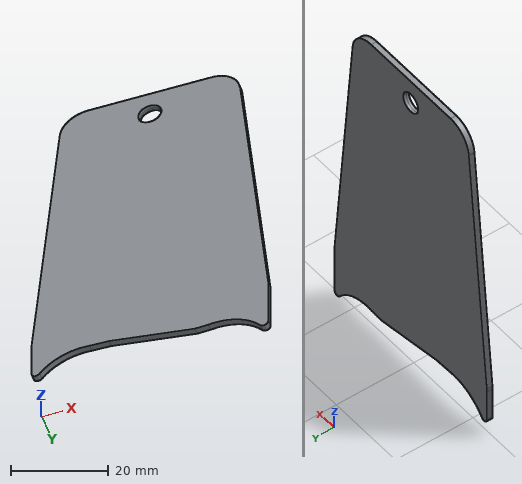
import cadquery as cq
import math

height = 82.5
width = 51.5
thickness = 1.5
half_width = width / 2

side_top_z = 12.7
taper_angle = math.radians(5.5)
waist_radius = 8.0
corner_radius = 6.3

hole_diameter = 5.0
hole_drop = 6.3

tip_radius = 1.0
left_tip_rise = 3.4
scallop_radius = 12.0
scallop_center_drop = 8.0
left_scallop_end_x = -13.1
left_flat_end = (-8.9, 8.2)
right_flat_start = (9.8, 4.8)
right_scallop_end_x = 12.7


def point_on_circle(center, radius, angle):
    return (center[0] + radius * math.cos(angle), center[1] + radius * math.sin(angle))


def mirrored(point):
    return (-point[0], point[1])


def scallop_height(center, x):
    return center[1] + math.sqrt(scallop_radius**2 - (x - center[0]) ** 2)


waist_center = (half_width - waist_radius, side_top_z)
side_top = (half_width, side_top_z)
waist_mid = point_on_circle(waist_center, waist_radius, taper_angle / 2)
taper_start = point_on_circle(waist_center, waist_radius, taper_angle)

corner_center_z = height - corner_radius
taper_end_z = corner_center_z + corner_radius * math.sin(taper_angle)
taper_end_x = taper_start[0] - (taper_end_z - taper_start[1]) * math.tan(taper_angle)
corner_center = (taper_end_x - corner_radius * math.cos(taper_angle), corner_center_z)
taper_end = (taper_end_x, taper_end_z)
corner_mid = point_on_circle(corner_center, corner_radius, (taper_angle + math.pi / 2) / 2)
corner_top = (corner_center[0], height)

tip_center_x = half_width - tip_radius
right_tip_center = (tip_center_x, tip_radius)
left_tip_center = (-tip_center_x, left_tip_rise + tip_radius)
center_distance = scallop_radius + tip_radius
scallop_offset_x = math.sqrt(center_distance**2 - scallop_center_drop**2)
right_scallop_center = (tip_center_x - scallop_offset_x, tip_radius - scallop_center_drop)
left_scallop_center = mirrored((right_scallop_center[0], right_scallop_center[1] + left_tip_rise))

tangent_angle = math.asin(scallop_center_drop / center_distance)
right_tip_end = point_on_circle(right_tip_center, tip_radius, math.pi + tangent_angle)
left_tip_end = point_on_circle(left_tip_center, tip_radius, -tangent_angle)
right_tip_bottom = (tip_center_x, 0)
left_tip_bottom = (-tip_center_x, left_tip_rise)

right_apex = (right_scallop_center[0], right_scallop_center[1] + scallop_radius)
left_apex = (left_scallop_center[0], left_scallop_center[1] + scallop_radius)
right_scallop_end = (right_scallop_end_x, scallop_height(right_scallop_center, right_scallop_end_x))
left_scallop_end = (left_scallop_end_x, scallop_height(left_scallop_center, left_scallop_end_x))

plate = (
    cq.Workplane("XZ")
    .moveTo(half_width, right_tip_center[1])
    .lineTo(*side_top)
    .threePointArc(waist_mid, taper_start)
    .lineTo(*taper_end)
    .threePointArc(corner_mid, corner_top)
    .lineTo(*mirrored(corner_top))
    .threePointArc(mirrored(corner_mid), mirrored(taper_end))
    .lineTo(*mirrored(taper_start))
    .threePointArc(mirrored(waist_mid), mirrored(side_top))
    .lineTo(-half_width, left_tip_center[1])
    .threePointArc(left_tip_bottom, left_tip_end)
    .threePointArc(left_apex, left_scallop_end)
    .lineTo(*left_flat_end)
    .lineTo(*right_flat_start)
    .lineTo(*right_scallop_end)
    .threePointArc(right_apex, right_tip_end)
    .threePointArc(right_tip_bottom, (half_width, right_tip_center[1]))
    .close()
    .extrude(thickness / 2, both=True)
)

hole = (
    cq.Workplane("XZ")
    .center(0, height - hole_drop)
    .circle(hole_diameter / 2)
    .extrude(thickness, both=True)
)

result = plate.cut(hole)